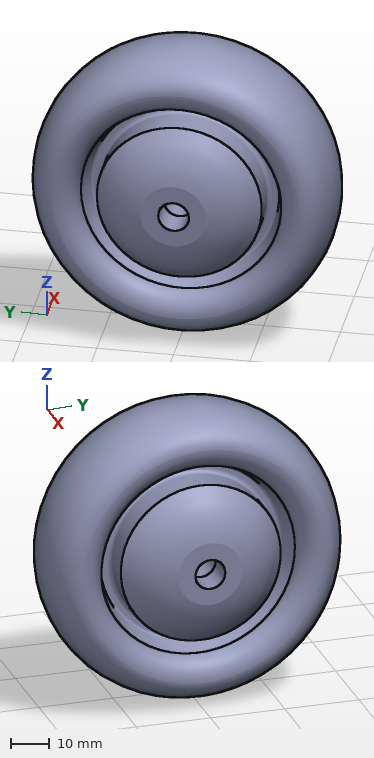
import cadquery as cq
import math


TIRE_RADIUS = 40.0
TIRE_HALF_WIDTH = 15.0
SIDEWALL_RADIUS = 32.2
TREAD_POINTS = 24

RIM_RADIUS = 26.2
RIM_HALF_WIDTH = 9.1
RIM_INNER_RADIUS = 24.6
WEB_HALF_WIDTH = 3.0
RIM_FILLET = 0.9
BOSS_RADIUS = 21.5
BOSS_HALF_WIDTH = 11.8
BOSS_FILLET = 1.3

CAP_HALF_SPAN = 20.0
CAP_FLAT_RADIUS = 8.6
CAP_BULGE_X = 17.4
CAP_BULGE_RADIUS = 15.4

BORE_RADIUS = 4.0

AXIS_START = (0, 0)
AXIS_END = (1, 0)


def spin(profile):
    """Revolve a closed profile a full turn about the X axis."""
    return profile.revolve(360, AXIS_START, AXIS_END)


def quarter_turn_point(center, x_reach, radius_reach):
    """Point halfway around a quarter ellipse that spans the two signed reaches."""
    half = math.sqrt(0.5)
    return (center[0] + half * x_reach, center[1] + half * radius_reach)


def make_tire():
    """Half-ellipse tread and quarter-round sidewalls on a plain cylindrical seat."""
    tread_height = TIRE_RADIUS - SIDEWALL_RADIUS
    side_depth = TIRE_HALF_WIDTH - RIM_HALF_WIDTH
    side_height = SIDEWALL_RADIUS - RIM_RADIUS

    def tread(turn):
        angle = math.pi * (1 - turn)
        return (
            TIRE_HALF_WIDTH * math.cos(angle),
            SIDEWALL_RADIUS + tread_height * math.sin(angle),
        )

    left_round = quarter_turn_point((-RIM_HALF_WIDTH, SIDEWALL_RADIUS), -side_depth, -side_height)
    right_round = quarter_turn_point((RIM_HALF_WIDTH, SIDEWALL_RADIUS), side_depth, -side_height)
    profile = (
        cq.Workplane("XY")
        .moveTo(-RIM_HALF_WIDTH, RIM_RADIUS)
        .threePointArc(left_round, (-TIRE_HALF_WIDTH, SIDEWALL_RADIUS))
        .parametricCurve(tread, N=TREAD_POINTS, makeWire=False)
        .moveTo(TIRE_HALF_WIDTH, SIDEWALL_RADIUS)
        .threePointArc(right_round, (RIM_HALF_WIDTH, RIM_RADIUS))
        .close()
    )
    return spin(profile)


def make_hub():
    """Rim, thin web and central boss in one solid, recessed the same way on both sides."""
    rim_fillet_x = WEB_HALF_WIDTH + RIM_FILLET
    boss_fillet_x = WEB_HALF_WIDTH + BOSS_FILLET
    half = spin(
        cq.Workplane("XY")
        .moveTo(0, BORE_RADIUS)
        .lineTo(0, RIM_RADIUS)
        .lineTo(-RIM_HALF_WIDTH, RIM_RADIUS)
        .lineTo(-rim_fillet_x, RIM_INNER_RADIUS)
        .radiusArc((-WEB_HALF_WIDTH, RIM_INNER_RADIUS - RIM_FILLET), RIM_FILLET)
        .lineTo(-WEB_HALF_WIDTH, BOSS_RADIUS + BOSS_FILLET)
        .radiusArc((-boss_fillet_x, BOSS_RADIUS), BOSS_FILLET)
        .lineTo(-BOSS_HALF_WIDTH, BOSS_RADIUS)
        .lineTo(-BOSS_HALF_WIDTH, BORE_RADIUS)
        .close()
    )
    return half.union(half.mirror("YZ"))


def make_cap(side):
    """Domed cap with a flat end; side is -1 or +1 along X."""
    return spin(
        cq.Workplane("XY")
        .moveTo(side * BOSS_HALF_WIDTH, BORE_RADIUS)
        .lineTo(side * BOSS_HALF_WIDTH, BOSS_RADIUS)
        .threePointArc(
            (side * CAP_BULGE_X, CAP_BULGE_RADIUS),
            (side * CAP_HALF_SPAN, CAP_FLAT_RADIUS),
        )
        .lineTo(side * CAP_HALF_SPAN, BORE_RADIUS)
        .close()
    )


tire = make_tire()
hub = make_hub()
caps = [make_cap(side) for side in (-1, 1)]

result = cq.Compound.makeCompound([tire.val(), hub.val(), *[cap.val() for cap in caps]])